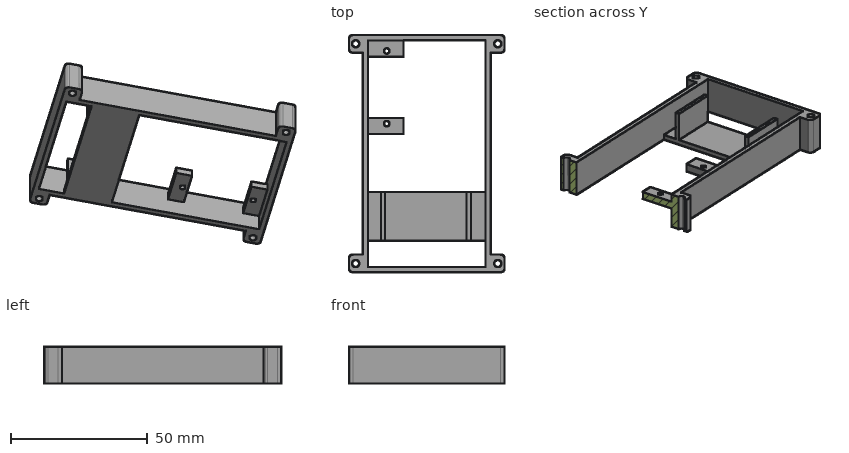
import cadquery as cq

length = 86.9
height = 13.5
frame_width = 47.0
wall = 2.0
inner_width = frame_width - 2 * wall
inner_length = length - 2 * wall

lug_span = 57.1
lug_length = 6.5
lug_radius = 1.5
lug_hole_diameter = 2.5
lug_hole_inset_x = 2.5
lug_hole_inset_y = 3.2

tab_reach = 13.0
tab_width = 6.0
tab_thickness = 3.0
tab_top = 10.5
tab_hole_diameter = 1.9
tab_hole_reach = 6.9
tab_hole_offset = 0.9
tab_spacing = 28.3

plate_width = 18.0
plate_thickness = 2.0
plate_start = 11.5
rib_thickness = 1.5
rib_top = 12.8
rib_gap = 30.0
rib_center_x = -0.35

inner_left = -inner_width / 2
inner_back = inner_length / 2


def box(size_x, size_y, size_z, center_x, center_y, bottom):
    """Block centred in X and Y, standing on the given height."""
    block = cq.Workplane("XY").box(size_x, size_y, size_z, centered=(True, True, False))
    return block.translate((center_x, center_y, bottom))


def make_frame():
    frame = box(frame_width, length, height, 0, 0, 0)
    for side in (-1, 1):
        end_bar = box(lug_span, lug_length, height, 0, side * (length - lug_length) / 2, 0)
        frame = frame.union(end_bar.edges("|Z").fillet(lug_radius))
    frame = frame.cut(box(inner_width, inner_length, height, 0, 0, 0))
    lug_holes = (
        cq.Workplane("XY")
        .rect(lug_span - 2 * lug_hole_inset_x, length - 2 * lug_hole_inset_y, forConstruction=True)
        .vertices()
        .circle(lug_hole_diameter / 2)
        .extrude(height)
    )
    return frame.cut(lug_holes)


def make_tab(center_y, hole_y):
    tab = box(
        tab_reach + wall / 2,
        tab_width,
        tab_thickness,
        inner_left + (tab_reach - wall / 2) / 2,
        center_y,
        tab_top - tab_thickness,
    )
    hole = (
        cq.Workplane("XY")
        .center(inner_left + tab_hole_reach, hole_y)
        .circle(tab_hole_diameter / 2)
        .extrude(height)
    )
    return tab.cut(hole)


def make_ribbed_plate():
    center_y = -length / 2 + plate_start + plate_width / 2
    plate = box(inner_width + wall, plate_width, plate_thickness, 0, center_y, 0)
    for side in (-1, 1):
        rib_x = rib_center_x + side * (rib_gap + rib_thickness) / 2
        plate = plate.union(box(rib_thickness, plate_width, rib_top, rib_x, center_y, 0))
    return plate


back_tab_y = inner_back - tab_width / 2
front_tab_y = back_tab_y - tab_spacing

result = (
    make_frame()
    .union(make_tab(back_tab_y, back_tab_y - tab_hole_offset))
    .union(make_tab(front_tab_y, front_tab_y + tab_hole_offset))
    .union(make_ribbed_plate())
)